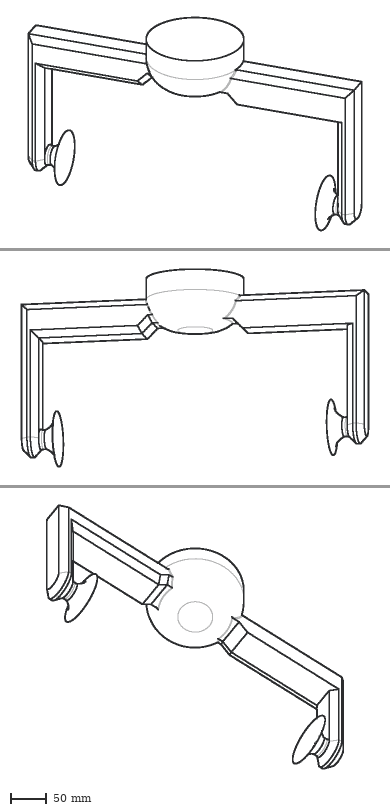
import cadquery as cq
import math

span = 499.5
bar_width = 50.0
leg_thickness = 25.0
bar_chamfer = 10.0
pad_axis_z = -225.0

head_radius = 70.0
head_wall_height = 29.5
head_bottom_radius = 45.0

beam_top = -head_wall_height
beam_bottom = beam_top - bar_width
relief_start = 74.5
relief_rise = 15.0
joint_fillet = 1.5

pad_radius = 40.0
pad_length = 25.0
neck_radius = 14.0
neck_root_radius = 15.0
neck_root_length = 3.5
neck_end = 8.0

half_span = span / 2
leg_inner = half_span - leg_thickness


def make_frame():
    """Chamfered U-shaped bar with rounded leg ends and a raised underside at the middle."""
    leg_bottom = pad_axis_z - bar_width / 2
    tolerance = 0.5
    relief_z = beam_bottom + relief_rise
    right_outline = [
        (half_span, beam_top),
        (half_span, leg_bottom),
        (leg_inner, leg_bottom),
        (leg_inner, beam_bottom),
        (relief_start, beam_bottom),
        (relief_start - relief_rise, relief_z),
    ]
    left_outline = [(-x, z) for x, z in reversed(right_outline)]
    bar = (
        cq.Workplane("XZ")
        .polyline(right_outline + left_outline)
        .close()
        .extrude(bar_width / 2, both=True)
    )
    side_profile = (
        cq.Workplane("YZ")
        .moveTo(-bar_width / 2, beam_top)
        .lineTo(-bar_width / 2, pad_axis_z)
        .threePointArc((0, leg_bottom), (bar_width / 2, pad_axis_z))
        .lineTo(bar_width / 2, beam_top)
        .close()
        .extrude(half_span, both=True)
    )
    bar = bar.intersect(side_profile)
    tangent_lines = cq.selectors.BoxSelector(
        (-span, -span, pad_axis_z - tolerance),
        (span, span, pad_axis_z + tolerance),
    )
    outline_edges = bar.edges("not |Y").edges(
        cq.selectors.SubtractSelector(cq.Selector(), tangent_lines)
    )
    return outline_edges.chamfer(bar_chamfer)


def make_square_edge():
    """Fills one chamfer under the right half of the beam, leaving its -Y lower edge square."""
    relief_z = beam_bottom + relief_rise
    fill_top = relief_z + bar_chamfer
    fill_end = head_bottom_radius
    return (
        cq.Workplane("XZ", origin=(0, bar_chamfer - bar_width / 2, 0))
        .moveTo(fill_end, relief_z)
        .lineTo(relief_start - relief_rise, relief_z)
        .lineTo(relief_start, beam_bottom)
        .lineTo(leg_inner + bar_chamfer, beam_bottom)
        .lineTo(leg_inner + bar_chamfer, fill_top)
        .lineTo(fill_end, fill_top)
        .close()
        .extrude(bar_chamfer)
    )


def make_head():
    """Cylindrical head with a bowl-shaped bottom."""
    height = head_wall_height + head_bottom_radius
    head = cq.Workplane("XY").circle(head_radius).extrude(-height)
    return head.faces("<Z").edges().fillet(head_bottom_radius)


def make_pad():
    """Left pad: a tapered neck that flares to a sharp-edged flat disc."""
    root_x = -leg_inner
    disc_x = root_x + pad_length
    neck_x = root_x + neck_end
    flare_length = disc_x - neck_x
    flare_height = pad_radius - neck_radius
    flare_radius = (flare_length**2 + flare_height**2) / (2 * flare_length)
    half_angle = math.atan2(flare_length, flare_height)
    flare_middle = (
        disc_x - flare_radius * (1 - math.cos(half_angle)),
        pad_radius - flare_radius * math.sin(half_angle),
    )
    return (
        cq.Workplane("XZ")
        .moveTo(root_x - leg_thickness / 2, 0)
        .lineTo(root_x - leg_thickness / 2, neck_root_radius)
        .lineTo(root_x, neck_root_radius)
        .lineTo(root_x + neck_root_length, neck_radius)
        .lineTo(neck_x, neck_radius)
        .threePointArc(flare_middle, (disc_x, pad_radius))
        .lineTo(disc_x, 0)
        .close()
        .revolve(360, (0, 0), (1, 0))
        .translate((0, 0, pad_axis_z))
    )


square_edge = make_square_edge()
opposite_square_edge = square_edge.rotate((0, 0, 0), (0, 0, 1), 180)
frame = make_frame().union(square_edge).union(opposite_square_edge)
left_pad = make_pad()
body = frame.union(make_head())
body = body.edges("%BSPLINE").fillet(joint_fillet)
result = body.union(left_pad).union(left_pad.mirror("YZ"))